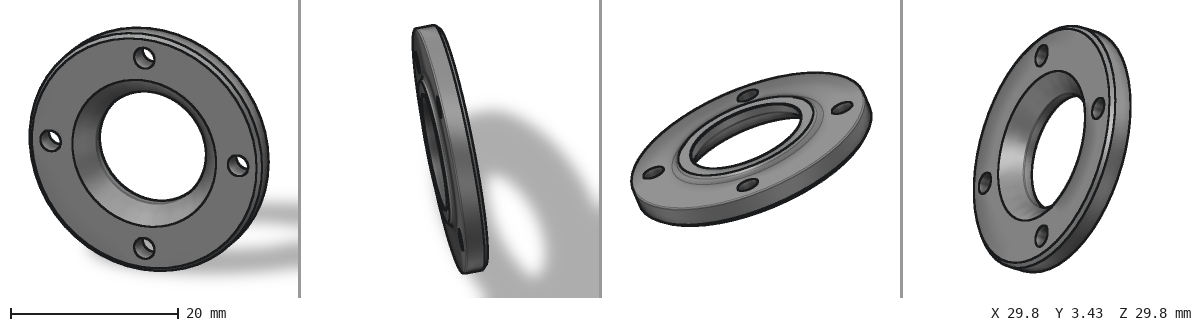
import cadquery as cq

outer_diameter = 29.8
total_depth = 3.43
front_chamfer = 0.5
back_edge_fillet = 0.18

boss_top_radius = 8.6
boss_height = 0.63
boss_root_fillet = 1.0

bore_radius = 7.0
countersink_radius = 9.2
countersink_root_fillet = 0.2
bore_back_chamfer = 0.1

hole_count = 4
hole_diameter = 2.6
hole_circle_radius = 12.0

outer_radius = outer_diameter / 2
disc_depth = total_depth - boss_height
boss_base_radius = boss_top_radius + boss_height
countersink_depth = countersink_radius - bore_radius

edge_match_tolerance = 0.003


def ring_body():
    """Revolve the half section, drawn as (radius, depth), about the Y axis."""
    section = (
        cq.Workplane("XY")
        .moveTo(countersink_radius, 0)
        .lineTo(outer_radius - front_chamfer, 0)
        .lineTo(outer_radius, front_chamfer)
        .lineTo(outer_radius, disc_depth)
        .lineTo(boss_base_radius, disc_depth)
        .lineTo(boss_top_radius, total_depth)
        .lineTo(bore_radius + bore_back_chamfer, total_depth)
        .lineTo(bore_radius, total_depth - bore_back_chamfer)
        .lineTo(bore_radius, countersink_depth)
        .close()
    )
    return section.revolve(360, (0, 0, 0), (0, 1, 0))


def round_edge(body, edge_radius, edge_depth, fillet):
    """Fillet the circular edge of the given radius that lies at the given depth."""

    def is_wanted(edge):
        if edge.geomType() != "CIRCLE":
            return False
        radius_error = abs(edge.radius() - edge_radius)
        depth_error = abs(edge.Center().y - edge_depth)
        return max(radius_error, depth_error) < edge_match_tolerance

    wanted_edges = [edge for edge in body.edges().vals() if is_wanted(edge)]
    return body.newObject(wanted_edges).fillet(fillet)


def mounting_holes():
    """Through cylinders spaced evenly on the hole circle."""
    return (
        cq.Workplane("XZ")
        .polarArray(hole_circle_radius, 0, 360, hole_count)
        .circle(hole_diameter / 2)
        .extrude(-total_depth)
    )


ring = ring_body()
ring = round_edge(ring, outer_radius, disc_depth, back_edge_fillet)
ring = round_edge(ring, boss_base_radius, disc_depth, boss_root_fillet)
ring = round_edge(ring, bore_radius, countersink_depth, countersink_root_fillet)
result = ring.cut(mounting_holes())